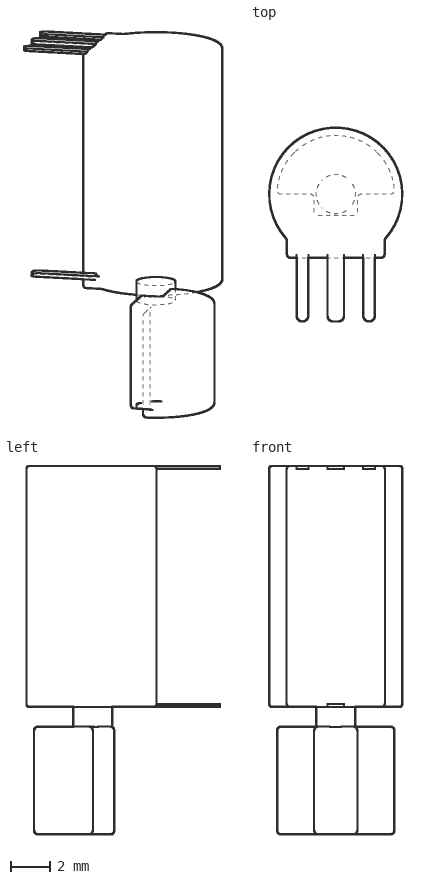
import cadquery as cq
import math

can_radius = 3.4
can_length = 12.3
foot_half_width = 2.5
foot_depth = 3.25
can_corner_radius = 0.2
can_rim_radius = 0.15

shaft_diameter = 2.0
shaft_gap = 1.0

weight_radius = 3.0
weight_length = 5.5
keel_half_width = 1.1
keel_depth = 1.1
weight_edge_radius = 0.2

tab_thickness = 0.15
tab_reach = 6.5
tab_tip_radius = 0.3
centre_tab_width = 0.85
side_tab_width = 2 * tab_tip_radius
side_tab_offset = 1.7

weight_top = weight_length
can_bottom = weight_top + shaft_gap
can_top = can_bottom + can_length


def make_can():
    foot_joint_y = -math.sqrt(can_radius**2 - foot_half_width**2)
    return (
        cq.Workplane("XY", origin=(0, 0, can_bottom))
        .moveTo(-foot_half_width, -foot_depth)
        .lineTo(foot_half_width, -foot_depth)
        .lineTo(foot_half_width, foot_joint_y)
        .threePointArc((0, can_radius), (-foot_half_width, foot_joint_y))
        .close()
        .extrude(can_length)
        .edges("|Z")
        .fillet(can_corner_radius)
        .faces("<Z or >Z")
        .edges()
        .fillet(can_rim_radius)
    )


def make_weight():
    return (
        cq.Workplane("XY")
        .moveTo(weight_radius, 0)
        .threePointArc((0, weight_radius), (-weight_radius, 0))
        .lineTo(-keel_half_width, 0)
        .lineTo(-keel_half_width, -keel_depth)
        .lineTo(keel_half_width, -keel_depth)
        .lineTo(keel_half_width, 0)
        .close()
        .extrude(weight_length)
        .edges("|Z")
        .fillet(weight_edge_radius)
        .faces("<Z or >Z")
        .edges()
        .fillet(weight_edge_radius)
    )


def make_shaft():
    return cq.Workplane("XY").circle(shaft_diameter / 2).extrude(can_bottom)


def make_tab(x, width, bottom):
    root_y = -(foot_depth - can_rim_radius)
    half_width = width / 2
    shoulder_y = -(tab_reach - tab_tip_radius)
    flat_half_width = half_width - tab_tip_radius
    outline = (
        cq.Workplane("XY", origin=(x, 0, bottom))
        .moveTo(-half_width, root_y)
        .lineTo(-half_width, shoulder_y)
        .radiusArc((-flat_half_width, -tab_reach), -tab_tip_radius)
    )
    if flat_half_width > 0:
        outline = outline.lineTo(flat_half_width, -tab_reach)
    return (
        outline.radiusArc((half_width, shoulder_y), -tab_tip_radius)
        .lineTo(half_width, root_y)
        .close()
        .extrude(tab_thickness)
    )


upper_tab_bottom = can_top - tab_thickness

result = make_can().union(make_shaft()).union(make_weight())
result = result.union(make_tab(0, centre_tab_width, can_bottom))
result = result.union(make_tab(0, centre_tab_width, upper_tab_bottom))
for side in (-1, 1):
    result = result.union(make_tab(side * side_tab_offset, side_tab_width, upper_tab_bottom))
result = result.clean()